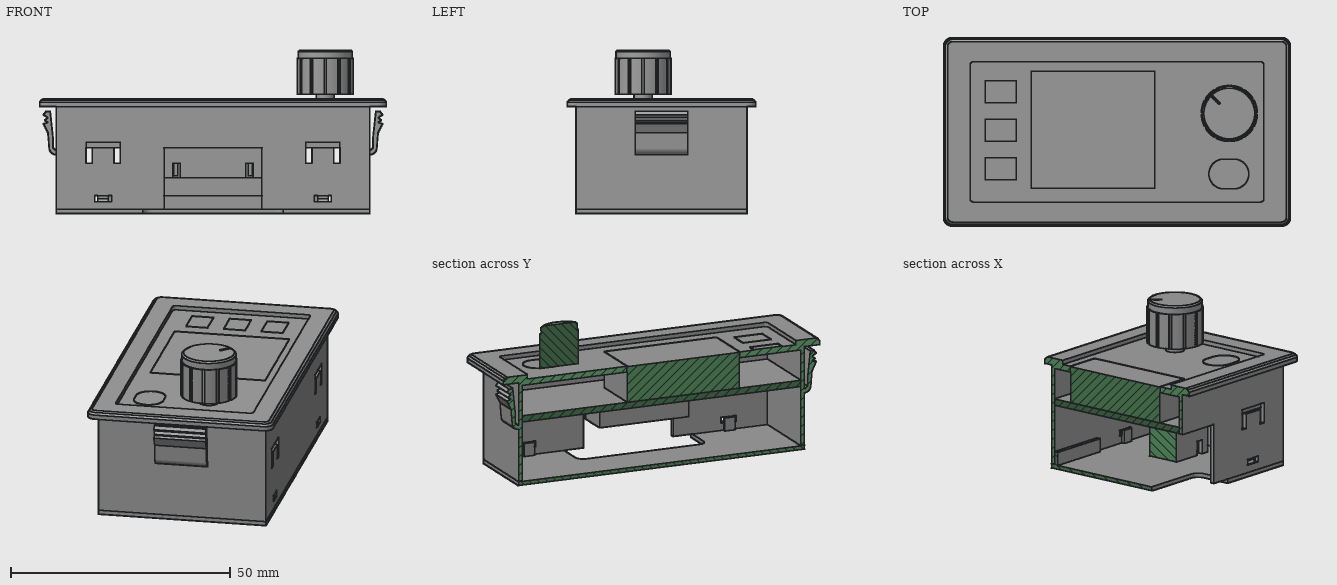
import cadquery as cq
import math


bezel_length, bezel_width = 79.1, 43.0
bezel_corner_radius = 2.0
bezel_bottom_z, bezel_top_z = 24.4, 26.2
bevels = [(0.5, 0.4), (0.3, 0.55)]
recess_length, recess_width, recess_depth = 67.0, 32.0, 1.0
recess_corner_radius = 0.8
panel_z = bezel_top_z - recess_depth
panel_thickness = 1.5

case_length, case_width = 71.5, 39.0
wall = 1.0
inner_length, inner_width = case_length - 2 * wall, case_width - 2 * wall
cover_thickness = 1.0

board_bottom_z, board_thickness = 15.0, 1.6
board_top_z = board_bottom_z + board_thickness
terminal_length, terminal_depth = 22.3, 8.0
terminal_setback = 1.86
terminal_bottom_z = 8.15
key_offset, key_width, key_height, key_depth = 8.3, 1.75, 3.3, 1.0
socket_width, socket_depth, socket_floor, socket_shift = 0.9, 1.0, 0.5, 0.2

window_x = 25.05
latch_width, latch_bottom_z, latch_top_z = 7.75, 11.55, 16.3
tongue_width = 5.0
snap_width, snap_bottom_z, snap_top_z = 3.75, 2.75, 4.1
tab_width, tab_thickness, hook_reach, hook_top_z = 2.55, 0.8, 0.6, 3.35

notch_length, notch_depth, notch_radius = 32.0, 9.1, 2.0
rib_length, rib_thickness = 30.0, 1.0

clip_width = 12.0
clip_root_bottom_z, clip_root_top_z = 13.4, 14.4
bend_z, bend_mid_z = 14.75, 13.85
bend_reach, bend_mid_reach = 1.6, 1.1
leaf_bottom_z, leaf_lean_z, leaf_inner_gap = 15.0, 17.2, 0.7
leaf_shoulder_z, leaf_shoulder_reach = 18.4, 1.9
clip_end_z, clip_end_inner_gap, clip_end_outer_gap = 23.3, 1.35, 2.35
upper_tip_z, middle_tip_z, lower_tip_z = 22.55, 21.3, 20.5
upper_valley_z, lower_valley_z = 21.9, 20.8
tooth_tip_reach, middle_tip_reach, tooth_root_reach = 2.95, 2.65, 1.95

display_x, display_y, display_length, display_width = -5.45, 0.5, 28.1, 26.7
display_setback = 0.1
key_pad_height = 0.1
key_pad_x, key_pad_length, key_pad_width = -26.5, 7.0, 5.0
key_pad_middle_y, key_pad_spacing = 0.35, 8.75
power_x, power_y, power_length, power_width = 25.5, -9.6, 9.1, 6.8

knob_x, knob_y = 25.6, 4.2
knob_bottom_z, knob_shoulder_z, knob_top_z = 27.2, 35.4, 37.3
grip_radius, cap_radius, cap_chamfer = 6.4, 6.2, 0.4
stem_radius = 2.1
flute_count, flute_width, flute_depth = 12, 0.55, 0.25
mark_inner_radius, mark_width, mark_depth, mark_angle = 3.1, 0.35, 0.2, 135


def block(length, width, z_bottom, z_top, x=0.0, y=0.0):
    """Rectangular block centred on (x, y) between two heights."""
    height = z_top - z_bottom
    base = cq.Workplane("XY", origin=(x, y, z_bottom))
    return base.box(length, width, height, centered=(True, True, False))


def make_bezel():
    straight_height = bezel_top_z - bezel_bottom_z - sum(height for height, _ in bevels)
    bezel = block(bezel_length, bezel_width, bezel_bottom_z, bezel_bottom_z + straight_height)
    bezel = bezel.edges("|Z").fillet(bezel_corner_radius)
    for height, inset in bevels:
        slope = math.degrees(math.atan2(inset, height))
        bezel = bezel.faces(">Z").wires().toPending().extrude(height, taper=slope)
    recess = block(recess_length, recess_width, panel_z, bezel_top_z)
    return bezel.cut(recess.edges("|Z").fillet(recess_corner_radius))


def make_clip():
    """Sprung clip on the -X side wall: curved root, tapering leaf and three teeth at the free end."""
    wall_x = -case_length / 2
    root_x = wall_x + wall / 2

    def out(distance):
        return wall_x - distance

    return (
        cq.Workplane("XZ", origin=(0, clip_width / 2, 0))
        .moveTo(root_x, clip_root_top_z)
        .lineTo(wall_x, clip_root_top_z)
        .lineTo(out(leaf_inner_gap), leaf_bottom_z)
        .lineTo(out(leaf_inner_gap), leaf_lean_z)
        .lineTo(out(clip_end_inner_gap), clip_end_z)
        .lineTo(out(clip_end_outer_gap), clip_end_z)
        .lineTo(out(tooth_tip_reach), upper_tip_z)
        .lineTo(out(tooth_root_reach), upper_valley_z)
        .lineTo(out(middle_tip_reach), middle_tip_z)
        .lineTo(out(tooth_root_reach), lower_valley_z)
        .lineTo(out(tooth_tip_reach), lower_tip_z)
        .lineTo(out(leaf_shoulder_reach), leaf_shoulder_z)
        .lineTo(out(bend_reach), bend_z)
        .threePointArc((out(bend_mid_reach), bend_mid_z), (wall_x, clip_root_bottom_z))
        .lineTo(root_x, clip_root_bottom_z)
        .close()
        .extrude(clip_width)
    )


def cut_wall_windows(housing):
    """U-shaped latch windows with a tongue, and snap windows below, through both long walls."""
    for x in (-window_x, window_x):
        latch = block(latch_width, case_width, latch_bottom_z, latch_top_z, x)
        tongue = block(tongue_width, case_width, latch_bottom_z, board_bottom_z, x)
        snap = block(snap_width, case_width, snap_bottom_z, snap_top_z, x)
        housing = housing.cut(latch.cut(tongue)).cut(snap)
    return housing


def make_housing():
    case = block(case_length, case_width, cover_thickness, bezel_bottom_z)
    cavity = block(inner_length, inner_width, cover_thickness, panel_z - panel_thickness)
    clip = make_clip()
    housing = case.union(make_bezel()).cut(cavity).union(clip).union(clip.mirror("YZ"))
    housing = cut_wall_windows(housing)
    opening_y = -(case_width - wall) / 2
    housing = housing.cut(block(terminal_length, wall, cover_thickness, board_bottom_z, 0, opening_y))
    housing = housing.cut(
        block(display_length, display_width, panel_z - panel_thickness, panel_z, display_x, display_y)
    )
    stem_hole = cq.Workplane("XY", origin=(knob_x, knob_y, board_top_z)).circle(stem_radius)
    housing = housing.cut(stem_hole.extrude(panel_z - board_top_z))
    for row in (-1, 0, 1):
        y = key_pad_middle_y + row * key_pad_spacing
        pad = block(key_pad_length, key_pad_width, panel_z, panel_z + key_pad_height, key_pad_x, y)
        housing = housing.union(pad)
    power_pad = cq.Workplane("XY", origin=(power_x, power_y, panel_z)).slot2D(power_length, power_width)
    return housing.union(power_pad.extrude(key_pad_height))


def make_snap_tab(x):
    """Upright tab inside the front wall with a sloped hook reaching into the snap window."""
    inner_y = -inner_width / 2
    return (
        cq.Workplane("YZ", origin=(x - tab_width / 2, 0, 0))
        .moveTo(inner_y + tab_thickness, cover_thickness)
        .lineTo(inner_y + tab_thickness, snap_top_z)
        .lineTo(inner_y, snap_top_z)
        .lineTo(inner_y, hook_top_z)
        .lineTo(inner_y - hook_reach, snap_bottom_z)
        .lineTo(inner_y, snap_bottom_z)
        .lineTo(inner_y, cover_thickness)
        .close()
        .extrude(tab_width)
    )


def make_cover():
    cover = block(case_length, case_width, 0, cover_thickness)
    notch = block(notch_length, notch_depth, 0, cover_thickness, 0, (notch_depth - case_width) / 2)
    cover = cover.cut(notch.edges("|Z and >Y").fillet(notch_radius))
    for x in (-window_x, window_x):
        tab = make_snap_tab(x)
        cover = cover.union(tab).union(tab.mirror("XZ"))
    rib_y = (inner_width - rib_thickness) / 2
    return cover.union(block(rib_length, rib_thickness, cover_thickness, snap_top_z, 0, rib_y))


def make_board():
    return block(inner_length, inner_width, board_bottom_z, board_top_z)


def make_terminal():
    """Terminal block with two key slots in its front face and a narrower socket behind each."""
    front_y = terminal_setback - case_width / 2
    terminal_y = front_y + terminal_depth / 2
    terminal = block(terminal_length, terminal_depth, terminal_bottom_z, board_bottom_z, 0, terminal_y)
    key_top_z = terminal_bottom_z + key_height
    key_y = front_y + key_depth / 2
    socket_y = front_y + key_depth + socket_depth / 2
    socket_bottom_z = terminal_bottom_z + socket_floor
    for side in (-1, 1):
        key_x = side * key_offset
        socket_x = side * (key_offset + socket_shift)
        terminal = terminal.cut(block(key_width, key_depth, terminal_bottom_z, key_top_z, key_x, key_y))
        terminal = terminal.cut(
            block(socket_width, socket_depth, socket_bottom_z, key_top_z, socket_x, socket_y)
        )
    return terminal


def make_display():
    return block(display_length, display_width, board_top_z, panel_z - display_setback, display_x, display_y)


def make_knob():
    axis = cq.Workplane("XY", origin=(knob_x, knob_y, 0))
    stem = axis.workplane(offset=board_top_z).circle(stem_radius).extrude(knob_bottom_z - board_top_z)
    grip = axis.workplane(offset=knob_bottom_z).circle(grip_radius)
    grip = grip.extrude(knob_shoulder_z - knob_bottom_z)
    flutes = (
        axis.workplane(offset=knob_bottom_z)
        .polarArray(grip_radius, 0, 360, flute_count)
        .rect(2 * flute_depth, flute_width)
        .extrude(knob_shoulder_z - knob_bottom_z)
    )
    cap = axis.workplane(offset=knob_shoulder_z).circle(cap_radius).extrude(knob_top_z - knob_shoulder_z)
    cap = cap.faces(">Z").chamfer(cap_chamfer)
    mark_length = cap_radius - mark_inner_radius
    mark = (
        axis.workplane(offset=knob_top_z - mark_depth)
        .transformed(rotate=(0, 0, mark_angle))
        .center(mark_inner_radius + mark_length / 2, 0)
        .rect(mark_length, mark_width)
        .extrude(mark_depth)
    )
    return grip.cut(flutes).union(cap).union(stem).cut(mark)


housing = make_housing()
cover = make_cover()
board = make_board()
terminal = make_terminal()
display = make_display()
knob = make_knob()

result = cq.Compound.makeCompound(
    [housing.val(), cover.val(), board.val(), terminal.val(), display.val(), knob.val()]
)